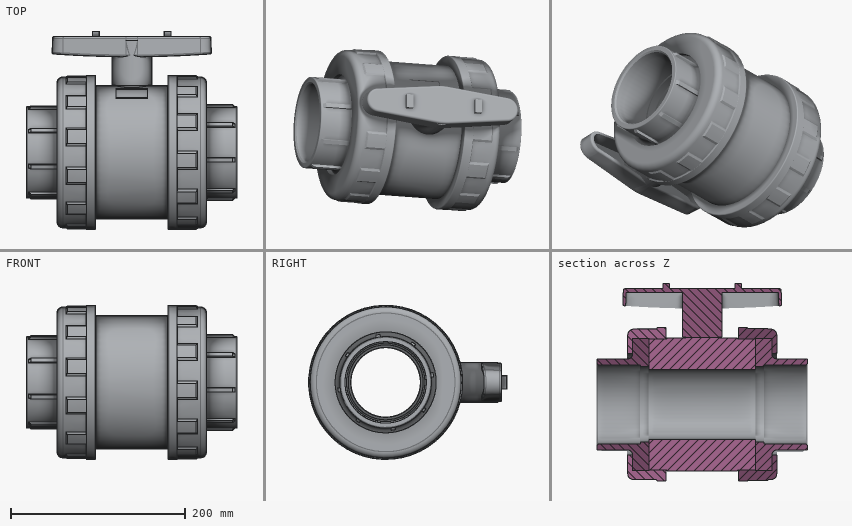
import cadquery as cq
import math

half_length = 121.0
bore_radius = 40.0

body_diameter = 153.5
barrel_half_length = 41.0
spigot_diameter = 151.0
spigot_end_x = 61.7
boss_diameter = 38.2
handle_seat_y = 77.2
label_width = 35.8
label_depth = 1.0
label_start_angle = 17.4
label_sweep = 17.6

nut_face_x = 85.9
nut_diameter = 173.5
nut_hole_diameter = 116.0
nut_corner_radius = 7.0
nut_cavity_x = 79.8
rim_radius = 88.5
rim_inner_x = 41.4
rim_outer_x = 51.8
rim_edge_radius = 1.2
rim_chamfer = 1.0
pad_count = 12
pad_end_x = 75.7
pad_base_width = 21.3
pad_top_radius = 88.3
pad_end_slope = 1.7
pad_side_slope = 3.1
pad_root_depth = 0.7
left_pad_angle = 18.0
right_pad_angle = 6.0

pipe_diameter = 105.2
pipe_edge_radius = 1.0
pipe_root_end_x = 85.6
socket_diameter = 90.2
socket_mouth_chamfer = 1.7
socket_floor_x = 71.0
step_diameter = 86.0
rib_count = 8
rib_radius = 55.5
rib_width = 4.8
rib_end_x = 118.5
rib_end_slope = 3.0
left_rib_angle = 17.5
right_rib_angle = 9.2

handle_half_length = 91.7
handle_half_width = 23.0
handle_end_radius = 14.5
handle_hub_radius = 60.5
handle_top_y = 133.3
handle_tip_low_y = 113.2
handle_hub_low_y = 109.8
handle_draft = 2.0
handle_wall = 3.9
handle_top_wall = 4.8
handle_edge_radius = 2.5
handle_rim_radius = 2.0
stem_diameter = 46.0
tab_inner_x = 37.3
tab_length = 8.0
tab_width = 15.5
tab_top_y = 139.0

body_radius = body_diameter / 2
spigot_radius = spigot_diameter / 2
nut_radius = nut_diameter / 2
nut_hole_radius = nut_hole_diameter / 2
pipe_radius = pipe_diameter / 2
socket_radius = socket_diameter / 2
pipe_root_radius = nut_hole_radius - pipe_radius
pipe_root_x = pipe_root_end_x - pipe_root_radius


def revolve_about_x(profile):
    """Turn an XY profile through a full circle about the flow axis."""
    return profile.close().revolve(360, (0, 0, 0), (1, 0, 0))


def tube(radius, x_start, x_end):
    return cq.Workplane("YZ", origin=(x_start, 0, 0)).circle(radius).extrude(x_end - x_start)


def turn(shape, angle):
    """Rotate a feature about the flow axis; 0 degrees points to +Y, 90 degrees to +Z."""
    return shape.rotate((0, 0, 0), (1, 0, 0), angle)


def make_label_recess():
    """Shallow curved recess on the upper side of the barrel, next to the stem."""
    profile = (
        cq.Workplane("XY")
        .moveTo(-label_width / 2, body_radius - label_depth)
        .lineTo(label_width / 2, body_radius - label_depth)
        .lineTo(label_width / 2, rim_radius)
        .lineTo(-label_width / 2, rim_radius)
        .close()
    )
    return turn(profile.revolve(label_sweep, (0, 0, 0), (1, 0, 0)), label_start_angle)


def make_body():
    body = tube(body_radius, -barrel_half_length, barrel_half_length)
    body = body.union(tube(spigot_radius, -spigot_end_x, spigot_end_x))
    body = body.union(cq.Workplane("XZ").circle(boss_diameter / 2).extrude(-handle_seat_y))
    body = body.cut(tube(bore_radius, -spigot_end_x, spigot_end_x))
    return body.cut(make_label_recess())


def make_pad():
    """Grip pad at +Y with sloping sides and end, running into the nut rim."""
    root_radius = nut_radius - pad_root_depth
    ring = revolve_about_x(
        cq.Workplane("XY")
        .moveTo(rim_outer_x, root_radius)
        .lineTo(pad_end_x, root_radius)
        .lineTo(pad_end_x, nut_radius)
        .lineTo(pad_end_x - pad_end_slope, pad_top_radius)
        .lineTo(rim_outer_x, pad_top_radius)
    )
    root_half_width = pad_base_width / 2
    top_half_width = root_half_width - pad_side_slope
    wedge = (
        cq.Workplane("YZ", origin=(rim_outer_x, 0, 0))
        .moveTo(0, -root_half_width)
        .lineTo(0, root_half_width)
        .lineTo(root_radius, root_half_width)
        .lineTo(pad_top_radius, top_half_width)
        .lineTo(pad_top_radius, -top_half_width)
        .lineTo(root_radius, -root_half_width)
        .close()
        .extrude(pad_end_x - rim_outer_x)
    )
    opposite_side = cq.Workplane("XY").box(nut_face_x * 2, rim_radius, rim_radius * 2)
    opposite_side = opposite_side.translate((0, -rim_radius / 2, 0))
    return ring.intersect(wedge).cut(opposite_side)


def make_nut(pad_angle):
    nut = revolve_about_x(
        cq.Workplane("XY")
        .moveTo(rim_inner_x, 0)
        .lineTo(rim_inner_x, rim_radius)
        .lineTo(rim_outer_x, rim_radius)
        .lineTo(rim_outer_x + rim_chamfer, nut_radius)
        .lineTo(nut_face_x, nut_radius)
        .lineTo(nut_face_x, 0)
    )
    nut = nut.faces(">X").edges().fillet(nut_corner_radius)
    nut = nut.faces("<X").edges().fillet(rim_edge_radius)

    pad = make_pad()
    for index in range(pad_count):
        nut = nut.union(turn(pad, pad_angle + index * 360 / pad_count))

    nut = nut.cut(tube(spigot_radius, rim_inner_x, nut_cavity_x))
    return nut.cut(tube(nut_hole_radius, nut_cavity_x, nut_face_x))


def make_connector(rib_angle):
    diagonal = pipe_root_radius * (1 - math.sqrt(0.5))
    connector = revolve_about_x(
        cq.Workplane("XY")
        .moveTo(spigot_end_x, 0)
        .lineTo(spigot_end_x, spigot_radius)
        .lineTo(nut_cavity_x, spigot_radius)
        .lineTo(nut_cavity_x, nut_hole_radius)
        .lineTo(pipe_root_x, nut_hole_radius)
        .threePointArc(
            (pipe_root_x + diagonal, pipe_radius + diagonal),
            (pipe_root_end_x, pipe_radius),
        )
        .lineTo(half_length, pipe_radius)
        .lineTo(half_length, 0)
    )
    connector = connector.faces(">X").edges().fillet(pipe_edge_radius)

    rib_root_radius = (socket_radius + pipe_radius) / 2
    rib = (
        cq.Workplane("XY", origin=(0, 0, -rib_width / 2))
        .moveTo(pipe_root_x, rib_root_radius)
        .lineTo(rib_end_x, rib_root_radius)
        .lineTo(rib_end_x, pipe_radius)
        .lineTo(rib_end_x - rib_end_slope, rib_radius)
        .lineTo(pipe_root_x, rib_radius)
        .close()
        .extrude(rib_width)
    )
    for index in range(rib_count):
        connector = connector.union(turn(rib, rib_angle + index * 360 / rib_count))

    connector = connector.cut(tube(step_diameter / 2, spigot_end_x, half_length))
    connector = connector.cut(tube(socket_radius, socket_floor_x, half_length))
    mouth = connector.faces(">X").edges(cq.selectors.RadiusNthSelector(0))
    return mouth.chamfer(socket_mouth_chamfer)


def handle_outline(inset):
    """Plan outline on the underside plane: broad hub arcs joined by tangent lines to end arcs."""
    hub = handle_hub_radius - inset
    end = handle_end_radius - inset
    end_x = handle_half_length - handle_end_radius
    hub_centre_z = handle_half_width - handle_hub_radius
    spacing = math.hypot(end_x, hub_centre_z)
    lean = math.atan2(end_x, -hub_centre_z) - math.acos((hub - end) / spacing)
    hub_x = hub * math.sin(lean)
    hub_z = hub_centre_z + hub * math.cos(lean)
    flank_x = end_x + end * math.sin(lean)
    flank_z = end * math.cos(lean)
    crest_z = hub_centre_z + hub
    tip_x = end_x + end
    return (
        cq.Workplane("XZ", origin=(0, handle_hub_low_y, 0))
        .moveTo(hub_x, hub_z)
        .lineTo(flank_x, flank_z)
        .threePointArc((tip_x, 0), (flank_x, -flank_z))
        .lineTo(hub_x, -hub_z)
        .threePointArc((0, -crest_z), (-hub_x, -hub_z))
        .lineTo(-flank_x, -flank_z)
        .threePointArc((-tip_x, 0), (-flank_x, flank_z))
        .lineTo(-hub_x, hub_z)
        .threePointArc((0, crest_z), (hub_x, hub_z))
        .close()
    )


def make_grip():
    """Drafted grip, hollow on its bowed underside."""
    height = handle_top_y - handle_hub_low_y
    grip = handle_outline(0).extrude(-height, taper=handle_draft)
    grip = grip.faces(">Y").edges().fillet(handle_edge_radius)

    bow = (
        cq.Workplane("XY")
        .moveTo(-handle_half_length, handle_tip_low_y)
        .threePointArc((0, handle_hub_low_y), (handle_half_length, handle_tip_low_y))
        .lineTo(handle_half_length, handle_top_y)
        .lineTo(-handle_half_length, handle_top_y)
        .close()
        .extrude(handle_half_width, both=True)
    )
    grip = grip.intersect(bow)
    grip = grip.faces("<Y").edges().fillet(handle_rim_radius)
    hollow = handle_outline(handle_wall).extrude(handle_top_wall - height, taper=handle_draft)
    return grip.cut(hollow)


def make_tab(side):
    height = tab_top_y - handle_top_y
    centre_x = side * (tab_inner_x + tab_length / 2)
    tab = cq.Workplane("XZ", origin=(centre_x, handle_top_y, 0))
    return tab.rect(tab_length, tab_width).extrude(-height)


def make_handle():
    stem_length = handle_top_y - handle_top_wall - handle_seat_y
    stem = cq.Workplane("XZ", origin=(0, handle_seat_y, 0)).circle(stem_diameter / 2).extrude(-stem_length)
    handle = make_grip().union(stem)
    for side in (-1, 1):
        handle = handle.union(make_tab(side))
    return handle


body = make_body()
bodies = [body.val(), make_handle().val()]
for make, left, right in (
    (make_nut, left_pad_angle, right_pad_angle),
    (make_connector, left_rib_angle, right_rib_angle),
):
    bodies.append(make(right).val())
    bodies.append(make(left).mirror("YZ").val())

result = cq.Compound.makeCompound(bodies)